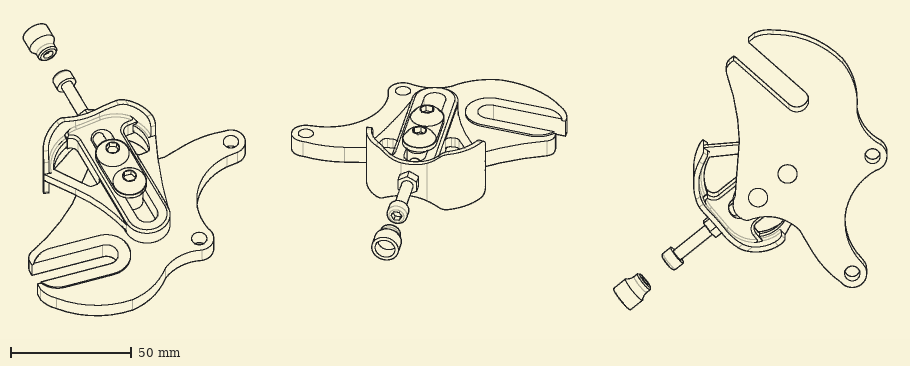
import cadquery as cq
import math


plate_thickness = 7.5
eye_hole_diameter = 6.3
eye_radius = 6.0
upper_eye = (9.5, 50.1)
side_eye = (48.0, 16.6)
axle_slot_center = (39.0, -22.0)
axle_slot_radius = 5.0
axle_slot_tilt = 8.2
axle_slot_length = 41.2
pad_radius = 10.2
pad_length = 21.3
pad_height = 0.8

arm_thickness = 8.6
arm_half_width = 9.6
arm_tip_center_x = 32.5
arm_edge_chamfer_width = 1.2
arm_edge_chamfer_height = 0.8
web_thickness = 4.5
arm_slot_radius = 4.5
arm_slot_left_x = -10.0
rail_upper_side_x = -11.8
rail_lower_side_x = -16.6
window_corner_radius = 3.3
window_right_radius = 2.2

hood_left_x = -22.0
hood_wall = 2.2
upper_arc_radius = 17.8
upper_arc_center = (hood_left_x + upper_arc_radius, 3.5)
upper_arc_end_angle = 86.5
upper_hood_height = 25.5
lower_arc_radius = 22.4
lower_arc_center = (hood_left_x + lower_arc_radius, -7.5)
lower_arc_end_angle = 254.7
lower_hood_height = 27.8
hood_end_corner_radius = 3.4
waist_height = 15.9
waist_radius = 19.2
waist_blend_radius = 5.5
web_rim = 4.0
lower_web_rim = 4.4
root_fillet = 1.0

screw_spacing = 15.9
washer_radius = 7.1
washer_thickness = 2.0
key_radius = 4.4
key_left_x = -8.4
screw_diameter = 8.0

screw_head_diameter = 13.7
screw_head_height = 4.0
screw_crown_diameter = 5.8
screw_socket_flats = 5.0
screw_socket_depth = 2.7
screw_turns = (0, 20)

bolt_diameter = 5.0
bolt_end_chamfer = 0.7
bolt_head_left_x = -48.8
bolt_head_length = 5.2
bolt_head_diameter = 8.5
bolt_head_round = 1.1
bolt_socket_flats = 4.0
bolt_socket_depth = 2.7
nut_flats = 8.0
nut_length = 4.1
cap_left_x = -73.3
cap_length = 12.3
cap_diameter = 11.4
cap_collar_length = 6.5
cap_neck_start = 9.9
cap_neck_diameter = 8.5
cap_neck_chamfer = 0.7
cap_bore_diameter = 8.4
cap_bore_depth = 5.5
cap_bore_cone_length = 4.8
cap_hole_diameter = 4.3

arm_top_z = arm_thickness / 2
plate_top_z = -arm_thickness / 2
plate_bottom_z = plate_top_z - plate_thickness
washer_top_z = arm_top_z + washer_thickness
screw_xs = (0, screw_spacing)
hex_corner_factor = 2 / math.sqrt(3)


def polar(center, radius, angle):
    """Point at the given angle (degrees) on a circle."""
    a = math.radians(angle)
    return (center[0] + radius * math.cos(a), center[1] + radius * math.sin(a))


def stadium(left_x, right_x, radius, bottom_z, top_z):
    """Upright slot-shaped block along X, between two end centres."""
    return (
        cq.Workplane("XY", origin=((left_x + right_x) / 2, 0, bottom_z))
        .slot2D(right_x - left_x + 2 * radius, 2 * radius)
        .extrude(top_z - bottom_z)
    )


def hanging_stadium(length, radius, height):
    """Slot-shaped block on the plate's underside, along the tilted axle slot."""
    block = cq.Workplane("XY").slot2D(length + 2 * radius, 2 * radius, 90).extrude(height)
    block = block.translate((0, -length / 2, 0)).rotate((0, 0, 0), (0, 0, 1), -axle_slot_tilt)
    return block.translate((*axle_slot_center, plate_bottom_z))


def make_plate():
    outline = (
        cq.Workplane("XY", origin=(0, 0, plate_bottom_z))
        .moveTo(upper_eye[0] - eye_radius, upper_eye[1])
        .threePointArc((upper_eye[0], upper_eye[1] + eye_radius), (upper_eye[0] + eye_radius, upper_eye[1]))
        .lineTo(15.5, 45.3)
        .threePointArc((22.8, 29.4), (45.3, 22.2))
        .threePointArc(polar(side_eye, eye_radius, 45), polar(side_eye, eye_radius, -16))
        .threePointArc((52.4, 7.5), (55.3, -2.5))
        .threePointArc((60.8, -9.9), (63.9, -22.0))
        .threePointArc((60.1, -36.5), (49.4, -50.1))
        .threePointArc((46.2, -52.5), (42.5, -54.0))
        .lineTo(39.5, -54.0)
        .lineTo(29.6, -51.9)
        .lineTo(27.5, -51.9)
        .threePointArc((25.1, -51.0), (23.7, -49.4))
        .threePointArc((17.3, -35.5), (8.9, -23.0))
        .lineTo(-7.0, -6.5)
        .threePointArc((-11.5, 0.0), (-9.6, 5.0))
        .threePointArc((-0.3, 10.7), (4.4, 21.8))
        .lineTo(2.6, 32.2)
        .threePointArc((2.0, 39.8), (upper_eye[0] - eye_radius, upper_eye[1]))
        .close()
    )
    plate = outline.extrude(plate_thickness)
    plate = plate.union(hanging_stadium(pad_length, pad_radius, plate_thickness + pad_height))
    plate = plate.cut(hanging_stadium(axle_slot_length, axle_slot_radius, plate_thickness + pad_height))
    holes = (
        cq.Workplane("XY", origin=(0, 0, plate_bottom_z))
        .pushPoints([upper_eye, side_eye])
        .circle(eye_hole_diameter / 2)
        .pushPoints([(x, 0) for x in screw_xs])
        .circle(screw_diameter / 2)
        .extrude(plate_thickness)
    )
    return plate.cut(holes)


def hood_sector(center, radius, start_angle, end_angle, straight_end_y, height):
    """One half of the hood wall: an arc and its share of the straight stretch."""
    inner = radius - hood_wall
    middle_angle = (start_angle + end_angle) / 2
    wall = (
        cq.Workplane("XY", origin=(0, 0, -height / 2))
        .moveTo(*polar(center, radius, end_angle))
        .threePointArc(polar(center, radius, middle_angle), polar(center, radius, start_angle))
        .lineTo(hood_left_x, straight_end_y)
        .lineTo(hood_left_x + hood_wall, straight_end_y)
        .lineTo(*polar(center, inner, start_angle))
        .threePointArc(polar(center, inner, middle_angle), polar(center, inner, end_angle))
        .close()
        .extrude(height)
    )
    across_end = cq.Vector(*polar((0, 0), 1, end_angle), 0)
    return wall.edges(cq.selectors.ParallelDirSelector(across_end)).fillet(hood_end_corner_radius)


def waist_gap(side, height):
    """Points of the waist curve on one side (+1 or -1 in Y): where it leaves the waist
    arc, a middle point on its blend, and where it reaches the full height."""
    arc_center_z = waist_height / 2 + waist_radius
    blend_center_z = height / 2 - waist_blend_radius
    reach = waist_radius + waist_blend_radius
    rise = arc_center_z - blend_center_z
    blend_center_y = math.sqrt(reach ** 2 - rise ** 2)
    blend_center = (blend_center_y, blend_center_z)
    leave_angle = math.degrees(math.atan2(rise, -blend_center_y))
    points = [polar(blend_center, waist_blend_radius, a) for a in (leave_angle, (leave_angle + 90) / 2, 90)]
    return [(side * y, z) for y, z in points]


def make_waist_cutter():
    """Region above the hood's top edge, as wide as the waist."""
    upper_leave, upper_blend, upper_reach = waist_gap(1, upper_hood_height)
    lower_leave, lower_blend, lower_reach = waist_gap(-1, lower_hood_height)
    clear_z = lower_hood_height
    return (
        cq.Workplane("YZ", origin=(hood_left_x - 1.4, 0, 0))
        .moveTo(*upper_reach)
        .threePointArc(upper_blend, upper_leave)
        .threePointArc((0, waist_height / 2), lower_leave)
        .threePointArc(lower_blend, lower_reach)
        .lineTo(lower_reach[0], clear_z)
        .lineTo(upper_reach[0], clear_z)
        .close()
        .extrude(-2 * hood_left_x)
    )


def make_hood():
    split_y = (upper_arc_center[1] + lower_arc_center[1]) / 2
    upper = hood_sector(upper_arc_center, upper_arc_radius, 180, upper_arc_end_angle, split_y, upper_hood_height)
    lower = hood_sector(lower_arc_center, lower_arc_radius, 180, lower_arc_end_angle, split_y, lower_hood_height)
    waist = make_waist_cutter()
    return upper.union(lower).cut(waist).cut(waist.mirror("XY"))


def make_web():
    """Thin wings that spread from the arm's tip to both ends of the hood."""
    upper_end = polar(upper_arc_center, upper_arc_radius, upper_arc_end_angle)
    lower_end = polar(lower_arc_center, lower_arc_radius, lower_arc_end_angle)
    return (
        cq.Workplane("XY", origin=(0, 0, -web_thickness / 2))
        .moveTo(*upper_end)
        .threePointArc(polar(upper_arc_center, upper_arc_radius, 135), (hood_left_x, upper_arc_center[1]))
        .lineTo(hood_left_x, lower_arc_center[1])
        .threePointArc(polar(lower_arc_center, lower_arc_radius, 215), lower_end)
        .lineTo(6.9, -20.6)
        .tangentArcPoint((35.1, -9.2), relative=False)
        .lineTo(35.1, 9.2)
        .threePointArc((11.7, 15.8), upper_end)
        .close()
        .extrude(web_thickness)
    )


def make_rail():
    """Thick part of the arm around the slot, with chamfered edges; on the left it widens in
    two round corners and ends inside the hood's wall."""
    corner = window_corner_radius
    bend = corner * (1 - math.sqrt(0.5))
    embed = hood_wall / 4
    upper_radius = upper_arc_radius - embed
    lower_radius = lower_arc_radius - embed
    upper_angle = math.degrees(math.acos((rail_upper_side_x - upper_arc_center[0]) / upper_radius))
    lower_angle = 180 + math.degrees(math.asin((arm_half_width + corner + lower_arc_center[1]) / lower_radius))
    rail = (
        cq.Workplane("XY", origin=(0, 0, -arm_thickness / 2))
        .moveTo(arm_tip_center_x, -arm_half_width)
        .threePointArc((arm_tip_center_x + arm_half_width, 0), (arm_tip_center_x, arm_half_width))
        .lineTo(rail_upper_side_x + corner, arm_half_width)
        .threePointArc(
            (rail_upper_side_x + bend, arm_half_width + bend),
            (rail_upper_side_x, arm_half_width + corner),
        )
        .lineTo(*polar(upper_arc_center, upper_radius, upper_angle))
        .threePointArc(
            polar(upper_arc_center, upper_radius, (upper_angle + 180) / 2),
            polar(upper_arc_center, upper_radius, 180),
        )
        .lineTo(*polar(lower_arc_center, lower_radius, 180))
        .threePointArc(
            polar(lower_arc_center, lower_radius, (lower_angle + 180) / 2),
            polar(lower_arc_center, lower_radius, lower_angle),
        )
        .lineTo(rail_lower_side_x, -arm_half_width - corner)
        .threePointArc(
            (rail_lower_side_x + bend, -arm_half_width - bend),
            (rail_lower_side_x + corner, -arm_half_width),
        )
        .close()
        .extrude(arm_thickness)
    )
    return rail.faces("<Z or >Z").chamfer(arm_edge_chamfer_height, arm_edge_chamfer_width)


def make_upper_window():
    """Opening in the web between the rail and the hood's upper arc."""
    rim = upper_arc_radius - web_rim
    right_angle, left_angle = 59, 124
    right_end = polar(upper_arc_center, rim, right_angle)
    left_end = polar(upper_arc_center, rim, left_angle)
    return (
        cq.Workplane("XY", origin=(0, 0, -web_thickness / 2))
        .moveTo(left_end[0], arm_half_width)
        .lineTo(right_end[0], arm_half_width)
        .lineTo(*right_end)
        .threePointArc(polar(upper_arc_center, rim, (right_angle + left_angle) / 2), left_end)
        .close()
        .extrude(web_thickness)
        .edges("|Z and >X")
        .fillet(window_right_radius)
    )


def make_lower_window():
    """Opening in the web between the rail, the hood's lower arc and the slanted strut."""
    rim = lower_arc_radius - lower_web_rim
    start_angle, end_angle = 187, 248.8
    left_end = polar(lower_arc_center, rim, start_angle)
    bottom_end = polar(lower_arc_center, rim, end_angle)
    return (
        cq.Workplane("XY", origin=(0, 0, -web_thickness / 2))
        .moveTo(left_end[0], -arm_half_width)
        .lineTo(8.8, -arm_half_width)
        .lineTo(8.8, -14.5)
        .lineTo(*bottom_end)
        .threePointArc(polar(lower_arc_center, rim, (start_angle + end_angle) / 2), left_end)
        .close()
        .extrude(web_thickness)
        .edges("|Z and >X")
        .fillet(window_right_radius)
    )


def depth_inside_hood(point):
    """Distance of a point inwards from the hood's outer face."""
    for center, radius, side in ((upper_arc_center, upper_arc_radius, 1), (lower_arc_center, lower_arc_radius, -1)):
        if side * (point.y - center[1]) > 0:
            return radius - math.hypot(point.x - center[0], point.y - center[1])
    return point.x - hood_left_x


def is_hood_root(edge):
    """True for an edge where the top or bottom of the web or rail meets the hood's inner face."""
    tolerance = 0.001
    for point in (edge.positionAt(0), edge.positionAt(0.5), edge.positionAt(1)):
        on_inner_face = abs(depth_inside_hood(point) - hood_wall) < tolerance
        on_flat = any(abs(abs(point.z) - t / 2) < tolerance for t in (arm_thickness, web_thickness))
        if not (on_inner_face and on_flat):
            return False
    return True


def make_arm():
    web = make_web().cut(make_upper_window()).cut(make_lower_window())
    arm = web.union(make_rail()).union(make_hood())
    arm = arm.edges().filter(is_hood_root).fillet(root_fillet)
    arm = arm.cut(stadium(arm_slot_left_x, arm_tip_center_x, arm_slot_radius, -arm_thickness, arm_thickness))
    bolt_hole = cq.Workplane("YZ", origin=(hood_left_x, 0, 0)).circle(bolt_diameter / 2)
    return arm.cut(bolt_hole.extrude(arm_slot_left_x - hood_left_x))


def make_washer():
    key_right_x = screw_spacing + washer_radius
    key = stadium(key_left_x + key_radius, key_right_x - key_radius, key_radius, plate_top_z, arm_top_z)
    washer = stadium(0, screw_spacing, washer_radius, arm_top_z, washer_top_z).union(key)
    holes = (
        cq.Workplane("XY", origin=(0, 0, plate_top_z))
        .pushPoints([(x, 0) for x in screw_xs])
        .circle(screw_diameter / 2)
        .extrude(washer_top_z - plate_top_z)
    )
    return washer.cut(holes)


def make_screw(x, turn):
    crown_z = washer_top_z + screw_head_height
    screw = (
        cq.Workplane("XZ")
        .moveTo(0, plate_bottom_z)
        .lineTo(screw_diameter / 2, plate_bottom_z)
        .lineTo(screw_diameter / 2, washer_top_z)
        .lineTo(screw_head_diameter / 2, washer_top_z)
        .threePointArc((5.2, washer_top_z + 2.3), (screw_crown_diameter / 2, crown_z))
        .lineTo(0, crown_z)
        .close()
        .revolve(360, (0, 0), (0, 1))
    )
    socket = (
        cq.Workplane("XY", origin=(0, 0, crown_z))
        .polygon(6, screw_socket_flats * hex_corner_factor)
        .extrude(-screw_socket_depth)
    )
    return screw.cut(socket).rotate((0, 0, 0), (0, 0, 1), turn).translate((x, 0, 0))


def make_bolt():
    shank_start_x = bolt_head_left_x + bolt_head_length
    head = (
        cq.Workplane("YZ", origin=(bolt_head_left_x, 0, 0))
        .circle(bolt_head_diameter / 2)
        .extrude(bolt_head_length)
        .faces("<X")
        .edges()
        .fillet(bolt_head_round)
    )
    shank = (
        cq.Workplane("YZ", origin=(shank_start_x, 0, 0))
        .circle(bolt_diameter / 2)
        .extrude(key_left_x - shank_start_x)
        .faces(">X")
        .edges()
        .chamfer(bolt_end_chamfer)
    )
    socket = (
        cq.Workplane("YZ", origin=(bolt_head_left_x, 0, 0))
        .polygon(6, bolt_socket_flats * hex_corner_factor)
        .extrude(bolt_socket_depth)
    )
    return head.union(shank).cut(socket)


def make_nut():
    nut = (
        cq.Workplane("YZ", origin=(hood_left_x, 0, 0))
        .polygon(6, nut_flats * hex_corner_factor)
        .circle(bolt_diameter / 2)
        .extrude(-nut_length)
    )
    return nut.rotate((0, 0, 0), (1, 0, 0), 90)


def make_cap():
    outer_radius = cap_diameter / 2
    neck_radius = cap_neck_diameter / 2
    bore_radius = cap_bore_diameter / 2
    hole_radius = cap_hole_diameter / 2
    cap = (
        cq.Workplane("XY")
        .moveTo(0, hole_radius)
        .lineTo(cap_length, hole_radius)
        .lineTo(cap_length, neck_radius - cap_neck_chamfer)
        .lineTo(cap_length - cap_neck_chamfer, neck_radius)
        .lineTo(cap_neck_start, neck_radius)
        .tangentArcPoint((cap_collar_length, outer_radius), relative=False)
        .lineTo(0, outer_radius)
        .close()
        .revolve(360, (0, 0), (1, 0))
    )
    bore = (
        cq.Workplane("XY")
        .lineTo(0, bore_radius)
        .lineTo(cap_bore_depth, bore_radius)
        .lineTo(cap_bore_depth + cap_bore_cone_length, hole_radius)
        .lineTo(cap_bore_depth + cap_bore_cone_length, 0)
        .close()
        .revolve(360, (0, 0), (1, 0))
    )
    return cap.cut(bore).translate((cap_left_x, 0, 0))


plate = make_plate()
arm = make_arm()
washer = make_washer()
screws = [make_screw(x, turn) for x, turn in zip(screw_xs, screw_turns)]
bolt = make_bolt()
nut = make_nut()
cap = make_cap()

result = cq.Compound.makeCompound(
    [plate.val(), arm.val(), washer.val(), *[s.val() for s in screws], bolt.val(), nut.val(), cap.val()]
)